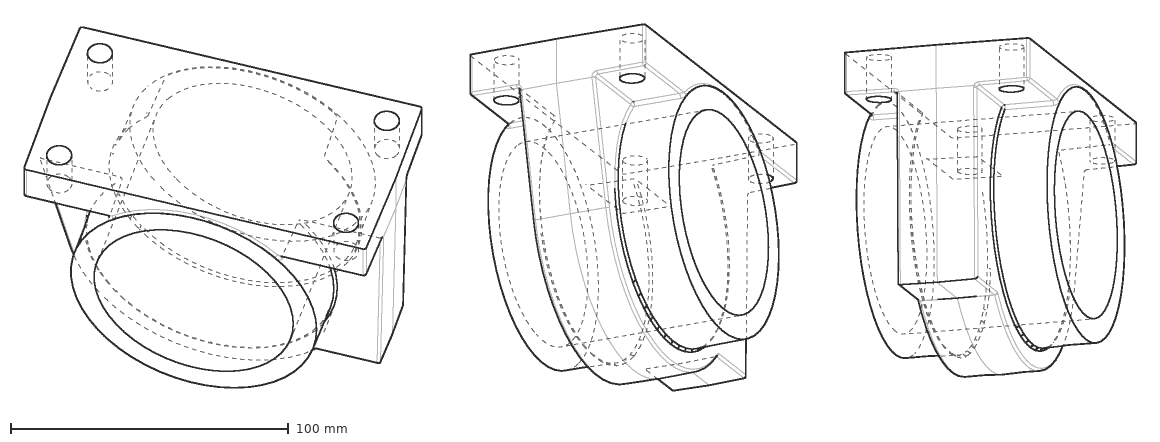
import cadquery as cq
import math

plate_length = 130.0
plate_width = 69.9
plate_depth = 16.1
axis_depth = 50.0
web_width = 30.0
web_radius = 55.0
web_foot_depth = 88.0
shoulder_drop = 1.0
hub_width = 72.0
hub_root_diameter = 93.8
bore_diameter = 75.0
hole_diameter = 9.0
hole_spacing_x = 108.0
hole_spacing_y = 50.0
draft_angle = 1.0
casting_radius = 1.0
top_stock = 3.9

half_length = plate_length / 2
plate_top = axis_depth
plate_bottom = plate_top - plate_depth
stock_top = plate_top + top_stock
web_foot = plate_top - web_foot_depth
draft_slope = math.tan(math.radians(draft_angle))


def drafted_half(outline, full_width):
    """Pull an XZ outline from the parting plane toward -Y, narrowing with the draft."""
    return outline.extrude(full_width / 2, taper=draft_angle)


def plate_half():
    outline = (
        cq.Workplane("XZ")
        .moveTo(-half_length, plate_bottom)
        .lineTo(half_length, plate_bottom)
        .lineTo(half_length, stock_top)
        .lineTo(-half_length, stock_top)
        .close()
    )
    return drafted_half(outline, plate_width)


def web_half():
    shoulder = plate_bottom - shoulder_drop
    shoulder_distance = math.hypot(half_length, shoulder)
    shoulder_angle = math.atan2(shoulder, -half_length)
    touch_angle = shoulder_angle + math.acos(web_radius / shoulder_distance)
    touch_point = (web_radius * math.cos(touch_angle), web_radius * math.sin(touch_angle))
    foot_start = math.sqrt(web_radius**2 - web_foot**2)
    foot_end = half_length - (plate_bottom - web_foot) * draft_slope
    outline = (
        cq.Workplane("XZ")
        .moveTo(-half_length, stock_top)
        .lineTo(-half_length, shoulder)
        .lineTo(*touch_point)
        .threePointArc((0, -web_radius), (foot_start, web_foot))
        .lineTo(foot_end, web_foot)
        .lineTo(half_length, plate_bottom)
        .lineTo(half_length, stock_top)
        .close()
    )
    return drafted_half(outline, web_width)


def hub_half():
    return drafted_half(cq.Workplane("XZ").circle(hub_root_diameter / 2), hub_width)


def machine_top(body):
    stock = (
        cq.Workplane("XY", origin=(0, 0, plate_top))
        .rect(2 * plate_length, 2 * plate_width)
        .extrude(2 * top_stock)
    )
    return body.cut(stock)


def centred_in(x_range, y_range, z_range):
    """Select the edges whose centres lie inside a box."""
    low, high = zip(x_range, y_range, z_range)
    return cq.selectors.BoxSelector(low, high)


def round_half(body):
    margin = 0.3
    web_face = -web_width / 2
    plate_face = -plate_width / 2
    side_faces = (plate_face - margin, web_face + margin)
    end_inset = plate_width / 2 * draft_slope
    end_start = half_length - end_inset - margin
    end_stop = half_length + margin
    below_top = plate_top - margin

    roots = centred_in((-web_radius, web_radius), side_faces, (web_foot / 2, below_top))
    seam = centred_in((-web_radius, web_radius), side_faces, (-margin, margin))
    body = body.edges(roots - seam).fillet(casting_radius)

    left_end = centred_in((-end_stop, -end_start), side_faces, (web_foot, below_top))
    right_end = centred_in((end_start, end_stop), side_faces, (web_foot, below_top))
    rim = centred_in(
        (-half_length, half_length),
        (web_face - margin, web_face + margin),
        (-web_radius, web_foot + margin),
    )
    return body.edges(left_end + right_end + rim).fillet(casting_radius)


half = plate_half().union(web_half()).union(hub_half())
half = round_half(machine_top(half))
casting = half.union(half.mirror("XZ"))

bore = (
    cq.Workplane("XZ", origin=(0, -hub_width, 0))
    .circle(bore_diameter / 2)
    .extrude(-2 * hub_width)
)
holes = (
    cq.Workplane("XY", origin=(0, 0, plate_top))
    .rect(hole_spacing_x, hole_spacing_y, forConstruction=True)
    .vertices()
    .circle(hole_diameter / 2)
    .extrude(-2 * plate_depth)
)
result = casting.cut(bore).cut(holes)